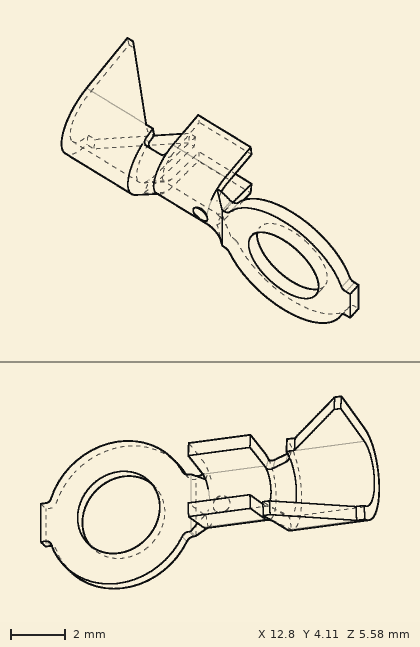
import cadquery as cq
import math

sheet = 0.52

ring_radius = 2.79
hole_radius = 1.6
tab_end_x = 3.04
tab_half_height = 0.75
tab_fillet = 0.2

neck_fillet = 0.3

barrel_axis_y = 1.3
wire_radius = barrel_axis_y
insulation_radius = 1.8
sector_angle = 60.0
neck_half_height = wire_radius * math.sin(math.radians(sector_angle))

cone_fillet = 0.18

pad_radius = 0.33
pad_setback = 0.28

insulation_start_x = -9.79
insulation_length = 3.04
cone_length = 0.81
wire_length = 2.41
flatten_length = 0.72
insulation_end_x = insulation_start_x + insulation_length
wire_start_x = insulation_end_x + cone_length
wire_end_x = wire_start_x + wire_length
flat_start_x = wire_end_x + flatten_length

wire_wing_angle = 5.7
wire_wing_height = 1.55
insulation_wing_angle = 8.2
insulation_wing_height = 2.522
insulation_wing_tip = 0.26
insulation_wing_root = 2.72


def wall_section(start_x, radius, half_angle):
    """Workplane at start_x holding a bent strip section, half_angle each side of the -Y direction."""
    inner = radius - sheet

    def on_arc(r, angle):
        a = math.radians(angle)
        return (barrel_axis_y - r * math.cos(a), r * math.sin(a))

    return (
        cq.Workplane("YZ", origin=(start_x, 0, 0))
        .moveTo(*on_arc(radius, -half_angle))
        .threePointArc(on_arc(radius, 0), on_arc(radius, half_angle))
        .lineTo(*on_arc(inner, half_angle))
        .threePointArc(on_arc(inner, 0), on_arc(inner, -half_angle))
        .close()
    )


def wing(start_x, radius, lean, outline):
    """Flat +Z wing tangent to the bend; outline is (distance along X, height above the bend)."""
    a = math.radians(lean)
    root = (
        start_x,
        barrel_axis_y - radius * math.sin(a),
        radius * math.cos(a),
    )
    outer_face = cq.Plane(origin=root, xDir=(1, 0, 0), normal=(0, math.sin(a), -math.cos(a)))
    points = [(x, -height) for x, height in outline]
    return cq.Workplane(outer_face).polyline(points).close().extrude(sheet)


def make_ring():
    """Flat ring with the neck towards the barrels and the carrier tab on the far side."""
    disc = cq.Workplane("XZ").circle(ring_radius).extrude(-sheet)
    neck = flat_bar(flat_start_x, neck_half_height)
    tab = flat_bar(tab_end_x, tab_half_height)
    hole = cq.Workplane("XZ").circle(hole_radius).extrude(-sheet)
    body = disc.union(neck).union(tab)
    body = round_ring_corners(body, -1, neck_half_height, neck_fillet)
    body = round_ring_corners(body, 1, tab_half_height, tab_fillet)
    return body.cut(hole)


def flat_bar(end_x, half_height):
    """Flat strip from the ring centre to end_x."""
    return (
        cq.Workplane("XZ")
        .center(end_x / 2, 0)
        .rect(abs(end_x), 2 * half_height)
        .extrude(-sheet)
    )


def round_ring_corners(body, side, half_height, radius):
    """Fillet the two corners where a flat bar leaves the ring on the +X (1) or -X (-1) side."""
    x = side * math.sqrt(ring_radius ** 2 - half_height ** 2)
    for z in (-half_height, half_height):
        corner = cq.selectors.NearestToPointSelector((x, sheet / 2, z))
        body = body.edges("|Y").edges(corner).fillet(radius)
    return body


def make_flattening():
    """Loft from the bent wire barrel wall to the flat neck."""
    return (
        wall_section(wire_end_x, wire_radius, sector_angle)
        .workplane(offset=flatten_length)
        .moveTo(0, -neck_half_height)
        .lineTo(0, neck_half_height)
        .lineTo(sheet, neck_half_height)
        .lineTo(sheet, -neck_half_height)
        .close()
        .loft(ruled=True)
    )


def make_wire_barrel():
    bend = wall_section(wire_start_x, wire_radius, 90 - wire_wing_angle).extrude(wire_length)
    outline = [(0, 0), (wire_length, 0), (wire_length, wire_wing_height), (0, wire_wing_height)]
    upper = wing(wire_start_x, wire_radius, wire_wing_angle, outline)
    return bend.union(upper).union(upper.mirror("XY"))


def make_insulation_barrel():
    bend = wall_section(
        insulation_start_x, insulation_radius, 90 - insulation_wing_angle
    ).extrude(insulation_length)
    outline = [
        (0, 0),
        (insulation_wing_root, 0),
        (insulation_wing_tip, insulation_wing_height),
        (0, insulation_wing_height),
    ]
    upper = wing(insulation_start_x, insulation_radius, insulation_wing_angle, outline)
    middle = ((insulation_start_x + insulation_end_x) / 2, 0, 0)
    lower = upper.rotate(middle, (middle[0], 1, 0), 180)
    return bend.union(upper).union(lower)


def cone_shell(half_angle):
    """Conical wall between the two barrels, half_angle each side of the -Y direction."""
    wall = (
        cq.Workplane("XY", origin=(0, barrel_axis_y, 0))
        .moveTo(insulation_end_x, -insulation_radius)
        .lineTo(wire_start_x, -wire_radius)
        .lineTo(wire_start_x, -wire_radius + sheet)
        .lineTo(insulation_end_x, -insulation_radius + sheet)
        .close()
    )
    shell = wall.revolve(2 * half_angle, (0, 0, 0), (1, 0, 0))
    return shell.rotate((0, barrel_axis_y, 0), (1, barrel_axis_y, 0), -half_angle)


def make_cone():
    """Cone joining the two barrels, its long edges flaring out into the barrel ends."""
    sector = cone_shell(sector_angle)

    a = math.radians(sector_angle)
    edge_plane = cq.Plane(
        origin=(insulation_end_x, barrel_axis_y, 0),
        xDir=(1, 0, 0),
        normal=(0, -math.cos(a), math.sin(a)),
    )
    bulge = cone_fillet * (1 - math.sqrt(0.5))
    edge_block = (
        cq.Workplane(edge_plane)
        .moveTo(0, -cone_fillet)
        .lineTo(cone_length, -cone_fillet)
        .lineTo(cone_length, cone_fillet)
        .threePointArc((cone_length - bulge, bulge), (cone_length - cone_fillet, 0))
        .lineTo(cone_fillet, 0)
        .threePointArc((bulge, bulge), (0, cone_fillet))
        .close()
        .extrude(2 * insulation_radius)
    )
    flare = cone_shell(90).intersect(edge_block)
    return sector.union(flare).union(flare.mirror("XY"))


def make_pad():
    """Round pad level with the front face of the ring, filling the curve of the barrel beside it."""
    return (
        cq.Workplane("XZ")
        .center(wire_end_x - pad_setback, 0)
        .circle(pad_radius)
        .extrude(-sheet / 2)
    )


result = (
    make_ring()
    .union(make_flattening())
    .union(make_wire_barrel())
    .union(make_cone())
    .union(make_insulation_barrel())
    .union(make_pad())
)